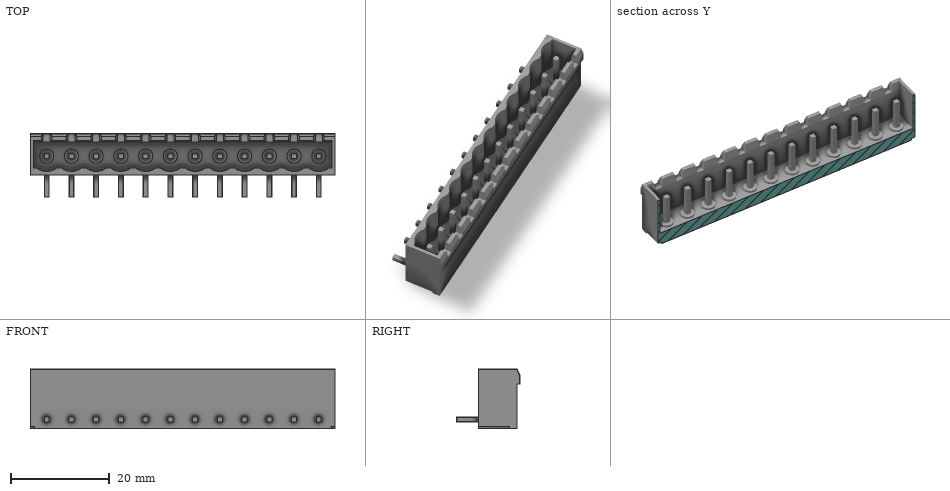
import cadquery as cq
import math


length = 61.6
height = 12.0
depth = 7.8
end_wall = 0.585
rear_wall = 1.1
front_wall = 1.5
floor_height = 3.1

pin_count = 12
pin_row_length = 55.0
pitch = pin_row_length / (pin_count - 1)
pin_xs = [(i - (pin_count - 1) / 2) * pitch for i in range(pin_count)]
pin_y = 3.8
pin_side = 1.0
pin_top = 10.15
tail_z = 1.85
tail_reach = 4.45

collar_radius = 1.4
collar_height = 0.5
scallop_radius = 3.1

lip_overhang = 0.55
lip_height = 3.0
lip_bevel_height = 1.3

notch_depth = 1.85
notch_floor_width = 1.4
notch_top_width = 2.15
tooth_inner_bevel = 0.3

step_width = 0.8
step_depth = 6.2
step_height = 0.45

cavity_length = length - 2 * end_wall
cavity_rear = depth - rear_wall
lip_back = depth + lip_overhang
notch_floor = height - notch_depth


def make_shell():
    """Housing profile in the YZ plane, with the lip, extruded along X."""
    profile = [
        (0, 0),
        (depth, 0),
        (depth, height - lip_height),
        (lip_back, height - lip_height),
        (lip_back, height - lip_bevel_height),
        (depth, height),
        (0, height),
    ]
    return cq.Workplane("YZ").polyline(profile).close().extrude(length / 2, both=True)


def make_cavity():
    """Open pocket whose rear edge is bevelled from the notch floor up to the rim."""
    profile = [
        (front_wall, floor_height),
        (cavity_rear, floor_height),
        (cavity_rear, notch_floor),
        (cavity_rear + tooth_inner_bevel, height),
        (front_wall, height),
    ]
    return cq.Workplane("YZ").polyline(profile).close().extrude(cavity_length / 2, both=True)


def make_scallop(x):
    """Arc-shaped hollow in the front wall, concentric with a pin."""
    half_chord = math.sqrt(scallop_radius**2 - (pin_y - front_wall) ** 2)
    return (
        cq.Workplane("XY", origin=(x, 0, floor_height))
        .moveTo(-half_chord, front_wall)
        .threePointArc((0, pin_y - scallop_radius), (half_chord, front_wall))
        .close()
        .extrude(height - floor_height)
    )


def make_notch(x):
    """Tapered notch through the rear wall and lip, centred on a pin."""
    return (
        cq.Workplane("XZ", origin=(x, lip_back, 0))
        .moveTo(-notch_floor_width / 2, notch_floor)
        .lineTo(notch_floor_width / 2, notch_floor)
        .lineTo(notch_top_width / 2, height)
        .lineTo(-notch_top_width / 2, height)
        .close()
        .extrude(lip_back - cavity_rear)
    )


def make_step(side):
    """Relief step under one end of the housing; side is -1 or 1."""
    step = cq.Workplane("XY").box(step_width, step_depth, step_height, centered=(True, False, False))
    return step.translate((side * (length - step_width) / 2, 0, 0))


def make_pin(x):
    """Square right-angle pin with its collar."""
    post_base = tail_z - pin_side / 2
    post_plane = cq.Workplane("XY", origin=(x, pin_y, post_base))
    post = post_plane.rect(pin_side, pin_side).extrude(pin_top - post_base)
    tail_plane = cq.Workplane("XZ", origin=(x, pin_y, tail_z))
    tail = tail_plane.rect(pin_side, pin_side).extrude(pin_y + tail_reach)
    collar = cq.Workplane("XY", origin=(x, pin_y, floor_height)).circle(collar_radius).extrude(collar_height)
    return post.union(tail).union(collar)


result = make_shell().cut(make_cavity())
for side in (-1, 1):
    result = result.cut(make_step(side))
for pin_x in pin_xs:
    result = result.cut(make_scallop(pin_x)).cut(make_notch(pin_x)).union(make_pin(pin_x))